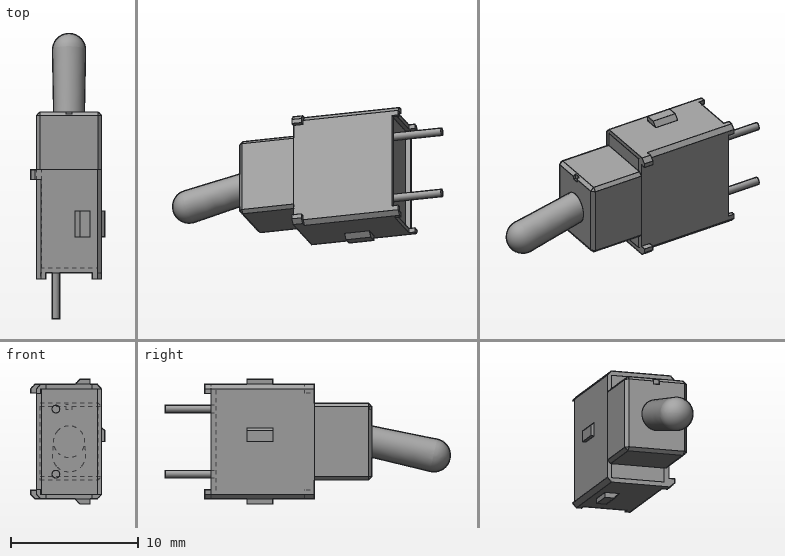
import cadquery as cq
import math


housing_width = 5.1
housing_height = 8.99
housing_length = 8.1
side_wall = 0.4
cover_wall = 0.35
edge_chamfer = 0.34
edge_chamfer_z = 0.35
recess_depth = 0.38

neck_length = 4.52
neck_height = 6.01
neck_chamfer = 0.27
notch_width = 0.5
notch_depth = 0.18
notch_height = 0.5

foot_length = 0.5
foot_width = 0.74
foot_wall = 0.31

hook_length = 0.78
hook_reach = 0.47
hook_height = 0.7
hook_chamfer = 0.35

latch_start = 3.25
latch_length = 2.03
latch_rise = 0.4
latch_foot_x = 0.47
latch_crest_x = 0.85
latch_end_x = 1.65
side_latch_rise = 0.27
side_latch_height = 1.07
side_latch_crest = 0.87

pin_diameter = 0.6
pin_x = -1.03
pin_spacing = 5.1
pin_end = 11.7

lever_tilt = 12.5
lever_root_diameter = 2.4
lever_tip_diameter = 2.62
lever_shank_length = 4.96

half_width = housing_width / 2
half_height = housing_height / 2
cavity_x = (-half_width + side_wall, half_width - edge_chamfer)
cavity_z = (-half_height + cover_wall, half_height - cover_wall)
core_rear = housing_length - recess_depth


def block(x_range, y_range, z_range):
    """Box between the given limits."""
    (x0, x1), (y0, y1), (z0, z1) = x_range, y_range, z_range
    return cq.Workplane("XY").box(x1 - x0, y1 - y0, z1 - z0, centered=False).translate((x0, y0, z0))


def extrude_back(points, start, length):
    """XZ outline extruded toward -Y, beginning at a distance behind the shoulder."""
    return cq.Workplane("XZ", origin=(0, -start, 0)).polyline(points).close().extrude(length)


def mirrored_pair(upper):
    """An upper feature together with its mirror image below."""
    return upper.union(upper.mirror("XY"))


def make_shell():
    """Open chamfered sleeve with the feet left standing on its rear rim."""
    full_length = housing_length + foot_length
    outline = [
        (-half_width + edge_chamfer, half_height),
        (half_width - edge_chamfer, half_height),
        (half_width, half_height - edge_chamfer_z),
        (half_width, -half_height + edge_chamfer_z),
        (half_width - edge_chamfer, -half_height),
        (-half_width + edge_chamfer, -half_height),
        (-half_width, -half_height + edge_chamfer_z),
        (-half_width, half_height - edge_chamfer_z),
    ]
    shell = extrude_back(outline, 0, full_length)
    shell = shell.cut(block(cavity_x, (-full_length, 0), cavity_z))

    foot_y = (-full_length, -housing_length)
    between_covers = block((-half_width + foot_wall, half_width), foot_y, cavity_z)
    between_side_feet = block(
        (-half_width, half_width), foot_y, (-half_height + foot_width, half_height - foot_width)
    )
    between_cover_feet = block(
        (-half_width + foot_width, half_width - foot_width), foot_y, (-half_height, half_height)
    )
    return shell.cut(between_covers).cut(between_side_feet).cut(between_cover_feet)


def make_neck():
    """Smaller block in front of the shoulder, with a notch in its upper front edge."""
    neck = block(
        (-half_width, half_width), (0, neck_length), (-neck_height / 2, neck_height / 2)
    )
    neck = neck.edges("|Y or >Y").chamfer(neck_chamfer)
    notch = block(
        (-notch_width / 2, notch_width / 2),
        (neck_length - notch_depth, neck_length),
        (neck_height / 2 - notch_height, neck_height / 2),
    )
    return neck.cut(notch)


def make_hooks():
    """Chamfered lips that reach past the -X face at the front corners."""
    outer_x = -half_width - hook_reach
    inner_x = cavity_x[0]
    outline = [
        (outer_x, half_height - hook_height),
        (outer_x, half_height - hook_chamfer),
        (outer_x + hook_chamfer, half_height),
        (inner_x, half_height),
        (inner_x, half_height - hook_height),
    ]
    return mirrored_pair(extrude_back(outline, 0, hook_length))


def make_latches():
    """Ramped latches on the top, the bottom and the +X face."""
    upper = [
        (latch_foot_x, half_height),
        (latch_crest_x, half_height + latch_rise),
        (latch_end_x, half_height + latch_rise),
        (latch_end_x, half_height),
    ]
    side = [
        (half_width, 0),
        (half_width + side_latch_rise, 0),
        (half_width + side_latch_rise, side_latch_crest),
        (half_width, side_latch_height),
    ]
    pair = mirrored_pair(extrude_back(upper, latch_start, latch_length))
    return pair.union(extrude_back(side, latch_start, latch_length))


def make_housing():
    """Sleeve around the core, with its hooks and latches."""
    return make_shell().union(make_hooks()).union(make_latches())


def make_core():
    """Switch core: a plug that fills the housing, the neck in front of it and the pins behind."""
    core = block(cavity_x, (-core_rear, 0), cavity_z).union(make_neck())
    for pin_z in (-pin_spacing / 2, pin_spacing / 2):
        pin = (
            cq.Workplane("XZ", origin=(pin_x, -core_rear, pin_z))
            .circle(pin_diameter / 2)
            .extrude(pin_end - core_rear)
        )
        core = core.union(pin)
    return core


def make_lever():
    """Tapered, round-tipped lever, tilted about the neck face and resting on that face."""
    root_radius = lever_root_diameter / 2
    tip_radius = lever_tip_diameter / 2
    root_extra = root_radius
    diagonal = tip_radius * math.sqrt(0.5)
    lever = (
        cq.Workplane("XY")
        .moveTo(0, -root_extra)
        .lineTo(root_radius, -root_extra)
        .lineTo(tip_radius, lever_shank_length)
        .threePointArc(
            (diagonal, lever_shank_length + diagonal), (0, lever_shank_length + tip_radius)
        )
        .close()
        .revolve(360, (0, 0, 0), (0, 1, 0))
        .rotate((0, 0, 0), (1, 0, 0), -lever_tilt)
        .translate((0, neck_length, 0))
    )
    behind_face = block(
        (-half_width, half_width), (0, neck_length), (-neck_height / 2, neck_height / 2)
    )
    return lever.cut(behind_face)


housing = make_housing()
core = make_core()
lever = make_lever()

result = cq.Compound.makeCompound([housing.val(), core.val(), lever.val()])